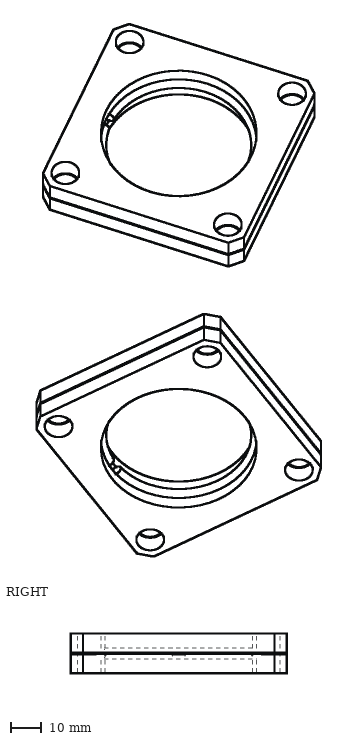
import cadquery as cq

side = 70.0
height = 13.0
gap = 0.5
plate_thickness = (height - gap) / 2
corner_chamfer = 3.9

bore_diameter = 50.4
bolt_hole_diameter = 8.95
bolt_spacing = 56.55

ring_section_radius = 1.75
ring_center_radius = bore_diameter / 2
ring_split_width = 4.2


def make_plate(bottom_z):
    """Square plate with chamfered corners, a central bore and four bolt holes."""
    return (
        cq.Workplane("XY", origin=(0, 0, bottom_z))
        .rect(side, side)
        .extrude(plate_thickness)
        .edges("|Z")
        .chamfer(corner_chamfer)
        .faces(">Z")
        .workplane()
        .hole(bore_diameter)
        .faces(">Z")
        .workplane()
        .rect(bolt_spacing, bolt_spacing, forConstruction=True)
        .vertices()
        .hole(bolt_hole_diameter)
    )


def make_torus():
    """Full round-section ring centred on the bore wall at mid height."""
    return (
        cq.Workplane("XZ")
        .center(ring_center_radius, height / 2)
        .circle(ring_section_radius)
        .revolve(360, (-ring_center_radius, 0), (-ring_center_radius, 1))
    )


torus = make_torus()
split = cq.Workplane("XY").box(side, ring_split_width, height).translate((0, 0, height / 2))
ring = torus.cut(split)

lower_plate = make_plate(0).cut(torus)
upper_plate = make_plate(plate_thickness + gap).cut(torus)

result = lower_plate.union(upper_plate).union(ring)